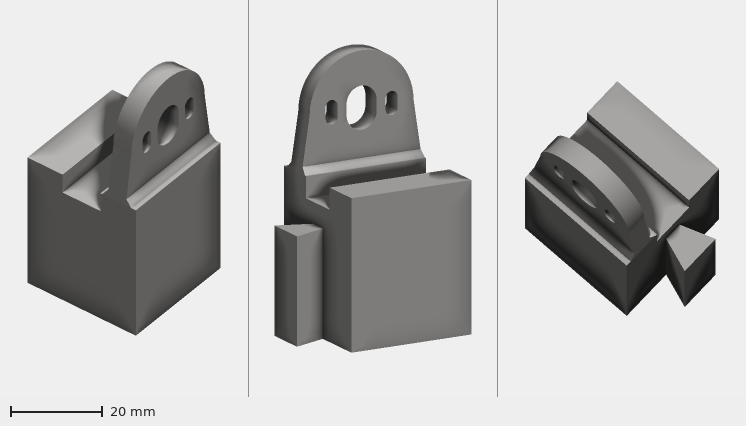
import cadquery as cq

block_side = 30.0
block_height = 35.0

groove_width = 10.5
groove_depth = 5.0

rail_height = 25.0
rail_depth = 8.0
rail_outer_width = 10.0
rail_root_width = 4.4

lug_thickness = 5.0
lug_center_x = 9.7
lug_radius = 13.0
lug_axis_z = 48.0
foot_height = 1.6
foot_width = 8.0

slot_travel = 2.5
main_slot_width = 7.5
side_slot_width = 3.0
side_slot_offset = 7.5


def make_block():
    """Cube-like body standing on Z = 0, with a groove along the top."""
    body = cq.Workplane("XY").box(block_side, block_side, block_height, centered=(True, True, False))
    groove = (
        cq.Workplane("XY")
        .workplane(offset=block_height - groove_depth)
        .box(groove_width, block_side, groove_depth, centered=(True, True, False))
    )
    return body.cut(groove)


def make_rail():
    """Dovetail rail that widens away from the block."""
    root_y = block_side / 2
    outer_y = root_y + rail_depth
    return (
        cq.Workplane("XY")
        .moveTo(-rail_root_width / 2, root_y)
        .lineTo(rail_root_width / 2, root_y)
        .lineTo(rail_outer_width / 2, outer_y)
        .lineTo(-rail_outer_width / 2, outer_y)
        .close()
        .extrude(rail_height)
    )


def lug_outline():
    """Lug silhouette across the full foot width: tapered sides under a half-round top."""
    half_base = block_side / 2
    return (
        cq.Workplane("YZ", origin=(lug_center_x - foot_width / 2, 0, 0))
        .moveTo(-half_base, block_height)
        .lineTo(half_base, block_height)
        .lineTo(lug_radius, lug_axis_z)
        .threePointArc((0, lug_axis_z + lug_radius), (-lug_radius, lug_axis_z))
        .close()
        .extrude(foot_width)
    )


def lug_section():
    """Lug thickness profile in XZ: a parallel plate on a flared foot."""
    half_foot = foot_width / 2
    half_plate = lug_thickness / 2
    foot_top = block_height + foot_height
    lug_top = lug_axis_z + lug_radius
    return (
        cq.Workplane("XZ", origin=(lug_center_x, 0, 0))
        .moveTo(-half_foot, block_height)
        .lineTo(half_foot, block_height)
        .lineTo(half_plate, foot_top)
        .lineTo(half_plate, lug_top)
        .lineTo(-half_plate, lug_top)
        .lineTo(-half_plate, foot_top)
        .close()
        .extrude(block_side / 2, both=True)
    )


def make_slot(offset_y, width):
    """Vertical slot cutter through the lug, centered at the lug axis height."""
    return (
        cq.Workplane("YZ", origin=(lug_center_x, offset_y, lug_axis_z))
        .slot2D(width + slot_travel, width, angle=90)
        .extrude(lug_thickness, both=True)
    )


def make_lug():
    """Upright lug with one main slot and a smaller slot on each side."""
    lug = lug_outline().intersect(lug_section())
    lug = lug.cut(make_slot(0, main_slot_width))
    for side in (-1, 1):
        lug = lug.cut(make_slot(side * side_slot_offset, side_slot_width))
    return lug


result = make_block().union(make_rail()).union(make_lug())